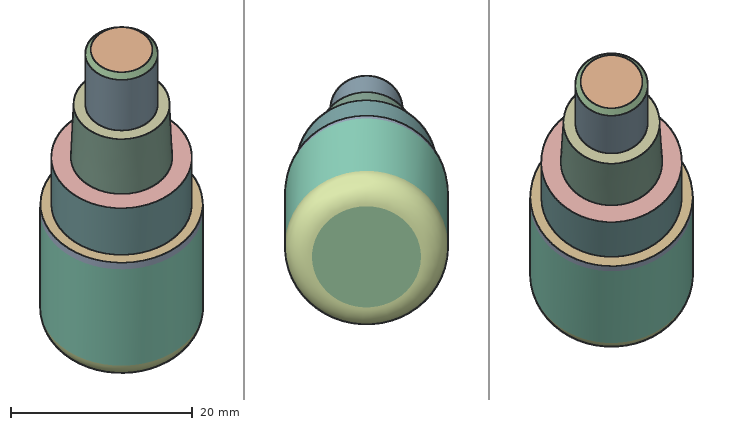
import cadquery as cq

knob_diameter = 18.0
knob_height = 19.5
knob_end_radius = 3.0
knob_rim_height = 1.0
knob_rim_top_diameter = 17.87

collar_diameter = 15.5
collar_length = 7.5
taper_bottom_diameter = 11.2
taper_top_diameter = 10.6
taper_length = 8.5
tip_diameter = 8.0
tip_length = 8.75
tip_chamfer = 0.6


def make_knob():
    """Solid of revolution: rounded lower end, cylindrical wall, conical rim."""
    rim_base = knob_height - knob_rim_height
    cylinder = (
        cq.Workplane("XY")
        .circle(knob_diameter / 2)
        .extrude(rim_base)
        .faces("<Z")
        .edges()
        .fillet(knob_end_radius)
    )
    rim = make_cone(knob_diameter, knob_rim_top_diameter, rim_base, knob_rim_height)
    return cylinder.union(rim)


def make_pin():
    """Stepped pin whose collar rests on the top face of the knob."""
    taper_base = knob_height + collar_length
    tip_base = taper_base + taper_length

    collar = (
        cq.Workplane("XY")
        .workplane(offset=knob_height)
        .circle(collar_diameter / 2)
        .extrude(collar_length)
    )
    taper = make_cone(taper_bottom_diameter, taper_top_diameter, taper_base, taper_length)
    tip = (
        cq.Workplane("XY")
        .workplane(offset=tip_base)
        .circle(tip_diameter / 2)
        .extrude(tip_length)
        .faces(">Z")
        .edges()
        .chamfer(tip_chamfer)
    )
    return collar.union(taper).union(tip)


def make_cone(bottom_diameter, top_diameter, base_height, length):
    """Truncated cone on the Z axis, starting at base_height."""
    base_centre = cq.Vector(0, 0, base_height)
    cone = cq.Solid.makeCone(bottom_diameter / 2, top_diameter / 2, length, pnt=base_centre)
    return cq.Workplane(obj=cone)


knob = make_knob()
pin = make_pin()

result = cq.Compound.makeCompound([knob.solids().val(), pin.solids().val()])